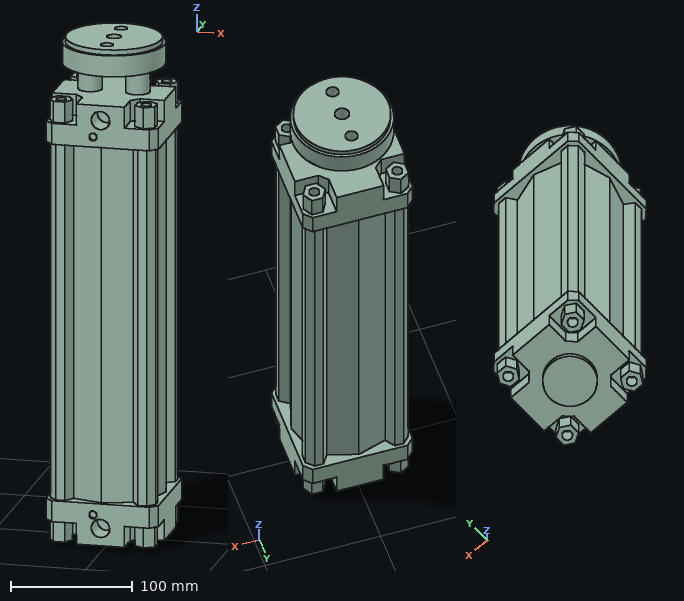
import cadquery as cq
import math

TOTAL_HEIGHT = 428.0
BOSS_HEIGHT = 5.0
CAP_HEIGHT = 36.0
BOTTOM_CAP_BASE = BOSS_HEIGHT
TOP_CAP_FACE = 382.0

CAP_WIDTH = 95.0
CAP_CHAMFER = 6.5
POCKET_DEPTH = 18.0
POCKET_SPACING = 40.5
POCKET_CHAMFER = 7.0
BOSS_DIAMETER = 45.0

NUT_OFFSET = 36.0
NUT_ACROSS_FLATS = 16.5
NUT_HOLE_DIAMETER = 8.5
NUT_HOLE_DEPTH = 17.0
DRILL_TIP_ANGLE = 118.0

BARREL_WIDTH = 89.0
BARREL_CHAMFER = 6.0
POST_FLAT_INNER = 31.0
VALLEY_OFFSET = 25.3
VALLEY_FACE = 36.5
RIDGE_FACE = 44.0

PORT_DIAMETER = 15.5
PORT_DEPTH = 21.5
SCREW_HOLE_DIAMETER = 6.5
SCREW_HOLE_DEPTH = 2.0
SCREW_HOLE_X = -6.5
TOP_PORT_Z = 369.5
TOP_SCREW_HOLE_Z = 355.0
BOTTOM_PORT_Z = 20.0
BOTTOM_SCREW_HOLE_Z = 31.2

PLATE_DIAMETER = 85.0
PLATE_HEIGHT = 22.3
PLATE_STEP_DIAMETER = 80.0
PLATE_STEP_HEIGHT = 4.3
CENTER_HOLE_DIAMETER = 12.0
SIDE_HOLE_DIAMETER = 10.3
SIDE_HOLE_Y = 25.0
ROD_DIAMETER = 20.0
ROD_X = 20.0

QUARTER_TURNS = [0, 90, 180, 270]
Z_AXIS = ((0, 0, 0), (0, 0, 1))


def make_corner_pocket():
    """Cutter for the pocket around the nut at the (-X, -Y) corner."""
    size = (CAP_WIDTH - POCKET_SPACING) / 2
    center = -(CAP_WIDTH + POCKET_SPACING) / 4
    return (
        cq.Workplane("XY")
        .workplane(offset=CAP_HEIGHT - POCKET_DEPTH)
        .center(center, center)
        .rect(size, size)
        .extrude(POCKET_DEPTH)
        .edges("|Z and >X and >Y")
        .chamfer(POCKET_CHAMFER)
    )


def make_nut():
    """Solid hexagonal nut at the (-X, -Y) corner, standing on the pocket floor."""
    return (
        cq.Workplane("XY")
        .workplane(offset=CAP_HEIGHT - POCKET_DEPTH)
        .center(-NUT_OFFSET, -NUT_OFFSET)
        .polygon(6, NUT_ACROSS_FLATS / math.cos(math.pi / 6))
        .extrude(POCKET_DEPTH)
    )


def make_nut_drill():
    """Cutter for the blind hole with a conical bottom in the (-X, -Y) nut."""
    radius = NUT_HOLE_DIAMETER / 2
    tip_height = radius / math.tan(math.radians(DRILL_TIP_ANGLE / 2))
    hole_bottom = CAP_HEIGHT - NUT_HOLE_DEPTH
    return (
        cq.Workplane("XZ")
        .moveTo(0, hole_bottom - tip_height)
        .lineTo(radius, hole_bottom)
        .lineTo(radius, CAP_HEIGHT)
        .lineTo(0, CAP_HEIGHT)
        .close()
        .revolve(360, (0, 0), (0, 1))
        .translate((-NUT_OFFSET, -NUT_OFFSET, 0))
    )


def make_cap():
    """End cap with its base on the XY plane and its nuts facing +Z."""
    cap = (
        cq.Workplane("XY")
        .rect(CAP_WIDTH, CAP_WIDTH)
        .extrude(CAP_HEIGHT)
        .edges("|Z")
        .chamfer(CAP_CHAMFER)
    )
    pocket = make_corner_pocket()
    nut = make_nut()
    drill = make_nut_drill()
    for turn in QUARTER_TURNS:
        cap = cap.cut(pocket.rotate(*Z_AXIS, turn))
        cap = cap.union(nut.rotate(*Z_AXIS, turn))
        cap = cap.cut(drill.rotate(*Z_AXIS, turn))
    return cap


def make_barrel(base, height):
    """Extruded tube body with four corner posts and a shallow ridge on each side."""
    half = BARREL_WIDTH / 2
    post_end = half - BARREL_CHAMFER
    side = [
        (-post_end, -half),
        (-POST_FLAT_INNER, -half),
        (-VALLEY_OFFSET, -VALLEY_FACE),
        (0, -RIDGE_FACE),
        (VALLEY_OFFSET, -VALLEY_FACE),
        (POST_FLAT_INNER, -half),
        (post_end, -half),
    ]
    outline = []
    for turn in QUARTER_TURNS:
        cosine = math.cos(math.radians(turn))
        sine = math.sin(math.radians(turn))
        outline += [(x * cosine - y * sine, x * sine + y * cosine) for x, y in side]
    return cq.Workplane("XY").workplane(offset=base).polyline(outline).close().extrude(height)


def make_front_hole(x, z, diameter, depth):
    """Cutter for a blind hole drilled from the -Y face of a cap."""
    return (
        cq.Workplane("XZ", origin=(x, -CAP_WIDTH / 2, z))
        .circle(diameter / 2)
        .extrude(-depth)
    )


def make_housing():
    """Barrel, both end caps with their nuts, and the bottom boss."""
    cap = make_cap()
    top_cap_base = TOP_CAP_FACE - CAP_HEIGHT
    bottom_cap_top = BOTTOM_CAP_BASE + CAP_HEIGHT
    top_cap = cap.translate((0, 0, top_cap_base))
    bottom_cap = cap.mirror("XY").translate((0, 0, bottom_cap_top))
    boss = cq.Workplane("XY").circle(BOSS_DIAMETER / 2).extrude(BOSS_HEIGHT)
    barrel = make_barrel(bottom_cap_top, top_cap_base - bottom_cap_top)
    housing = barrel.union(top_cap).union(bottom_cap).union(boss)

    for port_z in (TOP_PORT_Z, BOTTOM_PORT_Z):
        housing = housing.cut(make_front_hole(0, port_z, PORT_DIAMETER, PORT_DEPTH))
    for hole_z in (TOP_SCREW_HOLE_Z, BOTTOM_SCREW_HOLE_Z):
        screw_hole = make_front_hole(SCREW_HOLE_X, hole_z, SCREW_HOLE_DIAMETER, SCREW_HOLE_DEPTH)
        housing = housing.cut(screw_hole)
    return housing


def make_piston():
    """Stepped round head plate with three through holes, on two rods."""
    plate_base = TOTAL_HEIGHT - PLATE_HEIGHT
    plate = (
        cq.Workplane("XY")
        .workplane(offset=plate_base)
        .circle(PLATE_DIAMETER / 2)
        .extrude(PLATE_HEIGHT - PLATE_STEP_HEIGHT)
        .faces(">Z")
        .workplane()
        .circle(PLATE_STEP_DIAMETER / 2)
        .extrude(PLATE_STEP_HEIGHT)
        .faces(">Z")
        .workplane()
        .hole(CENTER_HOLE_DIAMETER)
        .faces(">Z")
        .workplane()
        .pushPoints([(0, -SIDE_HOLE_Y), (0, SIDE_HOLE_Y)])
        .hole(SIDE_HOLE_DIAMETER)
    )
    rods = (
        cq.Workplane("XY")
        .workplane(offset=TOP_CAP_FACE)
        .pushPoints([(-ROD_X, 0), (ROD_X, 0)])
        .circle(ROD_DIAMETER / 2)
        .extrude(plate_base - TOP_CAP_FACE)
    )
    return plate.union(rods)


housing = make_housing()
piston = make_piston()
result = cq.Compound.makeCompound([housing.val(), piston.val()])